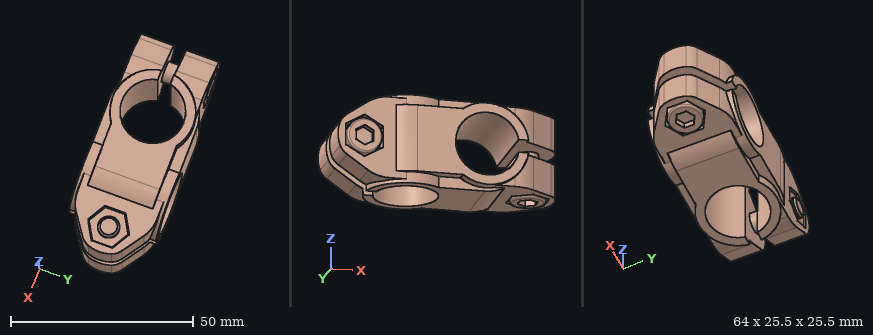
import cadquery as cq
import math

length = 64.0
clamp_height = 25.5
bar_offset = 10.0
bore_diameter = 18.0
ring_radius = 11.8
web_width = 19.1
slit_width = 3.65

tongue_width = 22.9
tongue_half_height = 11.65
nose_radius = 10.0
corner_radius = nose_radius / 2
shoulder_radius = nose_radius
flank_angle = math.radians(34.6)

bolt_x = -24.5
shank_diameter = 6.0
head_diameter = 10.0
head_rounding = 0.5
bolt_projection = 0.6
tip_chamfer = 0.65
socket_flats = 5.0
socket_depth = 2.0
pocket_flats = 10.5
pocket_depth = 3.85
nut_flats = 10.0
nut_recess = 0.6


def cylinder_z(radius, height):
    return cq.Workplane("XY").center(-bar_offset, 0).circle(radius).extrude(height / 2, both=True)


def hexagon(y_start, flats, y_length):
    """Hexagonal prism on the bolt axis, growing toward +Y, with corners at +Z and -Z."""
    return (
        cq.Workplane("XZ", origin=(bolt_x, y_start, 0))
        .polygon(6, flats, circumscribed=True)
        .extrude(-y_length)
    )


def rod(y_start, diameter, y_length):
    """Round rod on the bolt axis, growing toward +Y."""
    return cq.Workplane("XZ", origin=(bolt_x, y_start, 0)).circle(diameter / 2).extrude(-y_length)


def on_circle(center, radius, angle):
    """Point of a circle, with the angle measured from -X toward +Z."""
    return (center[0] - radius * math.cos(angle), center[1] + radius * math.sin(angle))


def make_tongue():
    center_z = tongue_half_height - shoulder_radius
    nose_angle = math.asin(center_z / (nose_radius - corner_radius))
    nose_center = (-length / 2 + nose_radius, 0)
    corner_center = on_circle(nose_center, nose_radius - corner_radius, nose_angle)
    shoulder_x = corner_center[0] + (shoulder_radius - corner_radius) / math.sin(flank_angle)
    shoulder_center = (shoulder_x, center_z)

    flank_normal = math.pi / 2 - flank_angle
    nose_end = on_circle(nose_center, nose_radius, nose_angle)
    corner_middle = on_circle(corner_center, corner_radius, (nose_angle + flank_normal) / 2)
    corner_end = on_circle(corner_center, corner_radius, flank_normal)
    shoulder_start = on_circle(shoulder_center, shoulder_radius, flank_normal)
    shoulder_middle = on_circle(shoulder_center, shoulder_radius, (flank_normal + math.pi / 2) / 2)
    shoulder_end = (shoulder_x, tongue_half_height)

    def below(point):
        return (point[0], -point[1])

    return (
        cq.Workplane("XZ")
        .moveTo(-bar_offset, tongue_half_height)
        .lineTo(*shoulder_end)
        .threePointArc(shoulder_middle, shoulder_start)
        .lineTo(*corner_end)
        .threePointArc(corner_middle, nose_end)
        .threePointArc((-length / 2, 0), below(nose_end))
        .threePointArc(below(corner_middle), below(corner_end))
        .lineTo(*below(shoulder_start))
        .threePointArc(below(shoulder_middle), below(shoulder_end))
        .lineTo(-bar_offset, -tongue_half_height)
        .close()
        .extrude(tongue_width / 2, both=True)
    )


def make_web():
    """Bridge whose rounded end follows the outer face of the other clamp."""
    half_height = clamp_height / 2
    return (
        cq.Workplane("XZ")
        .moveTo(-bar_offset, half_height)
        .lineTo(bar_offset, half_height)
        .threePointArc((bar_offset + half_height, 0), (bar_offset, -half_height))
        .lineTo(-bar_offset, -half_height)
        .close()
        .extrude(web_width / 2, both=True)
    )


def make_clamp_body():
    web_end_x = bar_offset + math.sqrt((clamp_height / 2) ** 2 - (tongue_width / 2) ** 2)
    trimmed_web = make_web().intersect(
        cq.Workplane("XY").box(2 * web_end_x, clamp_height, clamp_height)
    )
    return cylinder_z(ring_radius, clamp_height).union(trimmed_web).union(make_tongue())


def make_clamp_opening():
    slit = cq.Workplane("XY").box(length, slit_width, clamp_height).translate(
        (-bar_offset - length / 2, 0, 0)
    )
    pockets = hexagon(-tongue_width / 2, pocket_flats, pocket_depth).union(
        hexagon(tongue_width / 2 - pocket_depth, pocket_flats, pocket_depth)
    )
    return cylinder_z(bore_diameter / 2, clamp_height).union(slit).union(pockets)


def make_bolt():
    head_y = -tongue_width / 2 - bolt_projection
    shank = rod(head_y, shank_diameter, tongue_width + 2 * bolt_projection)
    shank = shank.faces(">Y").chamfer(tip_chamfer)
    head = rod(head_y, head_diameter, pocket_depth + bolt_projection)
    head = head.faces("<Y").edges().fillet(head_rounding)
    nut = hexagon(tongue_width / 2 - pocket_depth, nut_flats, pocket_depth - nut_recess)
    return shank.union(head).union(nut).cut(hexagon(head_y, socket_flats, socket_depth))


def opposite(shape):
    """Half turn that swaps Y with Z and reverses X."""
    return shape.rotate((0, 0, 0), (0, 1, 1), 180)


body = make_clamp_body()
opening = make_clamp_opening()
bolt = make_bolt()

result = body.union(opposite(body)).cut(opening).cut(opposite(opening))
result = result.union(bolt).union(opposite(bolt))